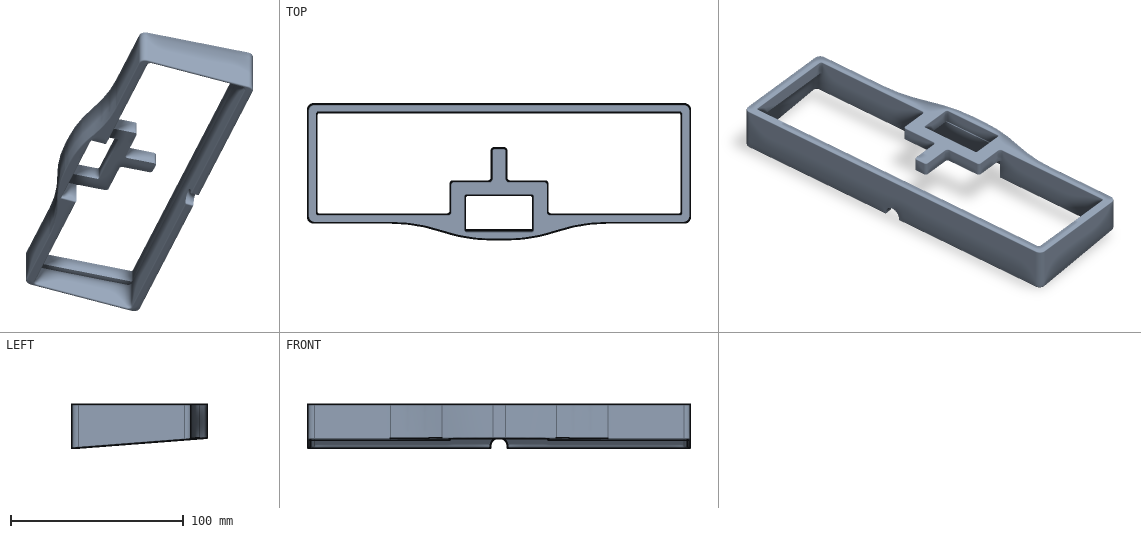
import cadquery as cq

length = 221.5
depth = 69.0
bulge = 9.7
back_height = 25.7
front_height = 19.7
corner_radius = 3.8
top_edge_radius = 0.5
bottom_edge_radius = 0.7
cut_margin = 2.2
blank_height = 2 * back_height

bulge_flat_half = 3.5
bulge_half = 63.0
bend_x = (bulge_flat_half + bulge_half) / 2
arc_run = bulge_half - bend_x
arc_rise = bulge / 2
arc_radius = (arc_run**2 + arc_rise**2) / (2 * arc_rise)

front_back_wall = 5.0
side_rim_wall = 5.3
rim_thickness = 8.0
inner_corner_radius = 1.05
plate_corner_radius = 1.66
back_skirt_wall = 4.9
side_skirt_wall = 1.66
cavity_corner_radius = 2.2

plate_width = 56.5
plate_back_y = 24.1
tongue_width = 8.9
tongue_back_y = 43.5
window_width = 39.0
window_front_y = front_back_wall - bulge
window_back_y = 16.0
recess_front_y = -4.0

notch_width = 9.7
notch_height = 6.2


def rectangle_prism(width, front_y, back_y, top_z, bottom_z):
    """Block centred on X between two Y planes and two Z planes."""
    return (
        cq.Workplane("XY", origin=(0, (front_y + back_y) / 2, bottom_z))
        .rect(width, back_y - front_y)
        .extrude(top_z - bottom_z)
    )


def outer_block():
    """Solid outer shape with the bulged front and the sloping underside."""
    half = length / 2
    block = (
        cq.Workplane("XY")
        .moveTo(half, 0)
        .lineTo(half, depth)
        .lineTo(-half, depth)
        .lineTo(-half, 0)
        .lineTo(-bulge_half, 0)
        .radiusArc((-bend_x, -arc_rise), arc_radius)
        .radiusArc((-bulge_flat_half, -bulge), -arc_radius)
        .lineTo(bulge_flat_half, -bulge)
        .radiusArc((bend_x, -arc_rise), -arc_radius)
        .radiusArc((bulge_half, 0), arc_radius)
        .close()
        .extrude(-blank_height)
        .edges("|Z and (<X or >X)")
        .fillet(corner_radius)
    )
    return block.cut(below_slope())


def below_slope():
    """Wedge under the sloping underside, which is lowest at the back."""
    lowest_y = depth - bottom_edge_radius
    slope = (back_height - front_height) / (lowest_y + bulge)
    front_y = -bulge - cut_margin
    back_y = depth + cut_margin
    wedge_bottom = -blank_height - cut_margin
    return (
        cq.Workplane("YZ", origin=(-length, 0, 0))
        .moveTo(front_y, -front_height + slope * cut_margin)
        .lineTo(back_y, -back_height - slope * (back_y - lowest_y))
        .lineTo(back_y, wedge_bottom)
        .lineTo(front_y, wedge_bottom)
        .close()
        .extrude(2 * length)
    )


def top_opening():
    """Opening in the rim, less the centre plate and its tongue."""
    width = length - 2 * side_rim_wall
    back_y = depth - front_back_wall
    opening = rectangle_prism(width, front_back_wall, back_y, cut_margin, -rim_thickness)
    plate = rectangle_prism(plate_width, 0, plate_back_y, cut_margin, -rim_thickness)
    tongue = rectangle_prism(tongue_width, 0, tongue_back_y, cut_margin, -rim_thickness)
    opening = opening.cut(plate).cut(tongue)
    opening = opening.edges("|Z").edges("not (<X or >X)").fillet(plate_corner_radius)
    return opening.edges("|Z and (<X or >X)").fillet(inner_corner_radius)


def window():
    """Rounded rectangular window through the centre plate."""
    prism = rectangle_prism(window_width, window_front_y, window_back_y, cut_margin, -rim_thickness)
    return prism.edges("|Z").fillet(inner_corner_radius)


def cavity():
    """Open-bottomed space below the rim, reaching forward under the plate."""
    open_end_z = -back_height - cut_margin
    width = length - 2 * side_skirt_wall
    main = rectangle_prism(width, front_back_wall, depth - back_skirt_wall, -rim_thickness, open_end_z)
    main = main.edges("|Z").fillet(cavity_corner_radius)
    recess = rectangle_prism(plate_width, recess_front_y, plate_back_y, -rim_thickness, open_end_z)
    return main.union(recess)


def cable_notch():
    """Round-topped slot running through the back wall only."""
    radius = notch_width / 2
    crown_z = notch_height - back_height
    return (
        cq.Workplane("XZ", origin=(0, depth + cut_margin, 0))
        .moveTo(-radius, -back_height - cut_margin)
        .lineTo(-radius, crown_z - radius)
        .threePointArc((0, crown_z), (radius, crown_z - radius))
        .lineTo(radius, -back_height - cut_margin)
        .close()
        .extrude(front_back_wall + 2 * cut_margin)
    )


body = outer_block().cut(top_opening()).cut(window()).cut(cavity()).cut(cable_notch())
body = body.faces(">Z").edges().fillet(top_edge_radius)
underside = body.faces("%PLANE").filter(lambda face: -0.999 < face.normalAt().z < -0.5)
result = underside.edges().fillet(bottom_edge_radius)